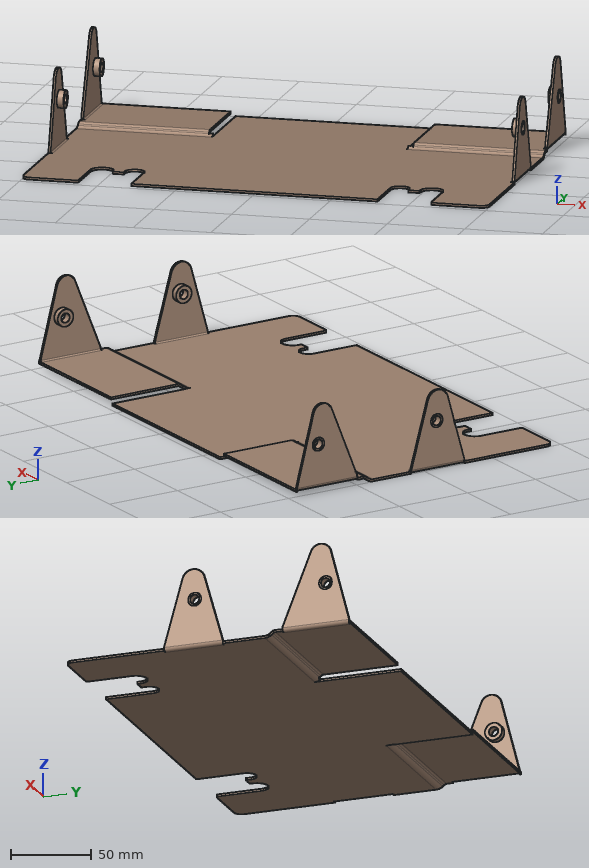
import cadquery as cq
import math

LENGTH = 300.0
DEPTH = 190.0
SHEET = 1.5
BEND_INNER = 1.0
BEND_OUTER = BEND_INNER + SHEET
HALF_LENGTH = LENGTH / 2

TAB_HALF_WIDTH = 62.7
SLOT_WIDTH = 3.0
SLOT_END_Y = 136.2
FLANGE_INNER_X = TAB_HALF_WIDTH + SLOT_WIDTH
FLANGE_REAR_Y = 189.0
FLANGE_RAISE = 3.0

JOGGLE_START_Y = 132.5
JOGGLE_ANGLE = math.radians(40)
JOGGLE_LOWER_RADIUS = 7.0
JOGGLE_UPPER_RADIUS = 2.7
JOGGLE_RADIUS_SUM = JOGGLE_LOWER_RADIUS + JOGGLE_UPPER_RADIUS
JOGGLE_SLOPE_RISE = FLANGE_RAISE - JOGGLE_RADIUS_SUM * (1 - math.cos(JOGGLE_ANGLE))
JOGGLE_SLOPE_RUN = JOGGLE_SLOPE_RISE / math.tan(JOGGLE_ANGLE)
JOGGLE_END_Y = JOGGLE_START_Y + JOGGLE_RADIUS_SUM * math.sin(JOGGLE_ANGLE) + JOGGLE_SLOPE_RUN

NOTCH_OUTER_X = 113.5
NOTCH_INNER_X = 79.2
TONGUE_OUTER_X = 98.7
TONGUE_INNER_X = 91.5
TONGUE_END_Y = 28.2
NOTCH_TOP_Y = 37.5
FRONT_CORNER_RADIUS = 5.0
NOTCH_CORNER_RADIUS = 1.5

REAR_EAR_FRONT_Y = 144.0
REAR_EAR_REAR_Y = 188.5
REAR_TIP_Y = 169.5
REAR_TIP_Z = 57.5
REAR_TIP_RADIUS = 7.0
REAR_NUT_Y = 172.8
FRONT_EAR_Y = 85.0
FRONT_EAR_HALF_WIDTH = 19.5
FRONT_TIP_Z = 51.5
FRONT_TIP_RADIUS = 7.5
FRONT_NUT_Y = 85.8

NUT_Z = 31.5
NUT_BORE = 6.0
NUT_SHANK = 8.7
NUT_HEAD = 11.5
NUT_HEAD_LENGTH = 4.2


def box(x_range, y_range, z_range):
    """Box between two limits on each axis."""
    (x0, x1), (y0, y1), (z0, z1) = x_range, y_range, z_range
    return cq.Workplane("XY").box(x1 - x0, y1 - y0, z1 - z0, centered=False).translate((x0, y0, z0))


def x_cylinder(diameter, x, length, y):
    """Cylinder along +X at the height of the nuts."""
    return cq.Workplane("YZ", origin=(x, y, NUT_Z)).circle(diameter / 2).extrude(length)


def both_sides(left):
    """The left-hand shape together with its mirror image, as two Workplanes."""
    return left, left.mirror("YZ")


def round_slot(x0, x1):
    """Slot from the front edge to a semicircular end."""
    radius = (x1 - x0) / 2
    arc_y = NOTCH_TOP_Y - radius
    return (
        cq.Workplane("XY")
        .moveTo(x0, 0)
        .lineTo(x0, arc_y)
        .threePointArc(((x0 + x1) / 2, NOTCH_TOP_Y), (x1, arc_y))
        .lineTo(x1, 0)
        .close()
        .extrude(SHEET)
    )


def left_notch():
    outer_slot = round_slot(-NOTCH_OUTER_X, -TONGUE_OUTER_X)
    inner_slot = round_slot(-TONGUE_INNER_X, -NOTCH_INNER_X)
    below_tongue = box((-TONGUE_OUTER_X, -TONGUE_INNER_X), (0, TONGUE_END_Y), (0, SHEET))
    return outer_slot.union(inner_slot).union(below_tongue)


def floor():
    """Flat floor with its rear tab, front notches and rounded front corners."""
    plate = box((-HALF_LENGTH, HALF_LENGTH), (0, JOGGLE_START_Y), (0, SHEET))
    plate = plate.union(box((-TAB_HALF_WIDTH, TAB_HALF_WIDTH), (0, DEPTH), (0, SHEET)))
    for notch in both_sides(left_notch()):
        plate = plate.cut(notch)
    for x, radius in ((HALF_LENGTH, FRONT_CORNER_RADIUS), (NOTCH_OUTER_X, NOTCH_CORNER_RADIUS)):
        for side in (-1, 1):
            corner = cq.selectors.NearestToPointSelector((side * x, 0, SHEET / 2))
            plate = plate.edges(corner).fillet(radius)
    return plate


def joggle_line(lift):
    """Start, middle and end of both arcs, from low to high, at a lift above the underside."""
    lower = JOGGLE_LOWER_RADIUS - lift
    upper = JOGGLE_UPPER_RADIUS + lift

    def lower_point(angle):
        return JOGGLE_START_Y + lower * math.sin(angle), lift + lower * (1 - math.cos(angle))

    def upper_point(angle):
        return JOGGLE_END_Y - upper * math.sin(angle), lift + FLANGE_RAISE - upper * (1 - math.cos(angle))

    half = JOGGLE_ANGLE / 2
    return (
        lower_point(0),
        lower_point(half),
        lower_point(JOGGLE_ANGLE),
        upper_point(JOGGLE_ANGLE),
        upper_point(half),
        upper_point(0),
    )


def left_flange():
    """Joggle and raised flange; the slot stops inside the joggle, whose foot reaches the tab."""
    under = joggle_line(0)
    over = joggle_line(SHEET)
    strip = (
        cq.Workplane("YZ", origin=(-HALF_LENGTH, 0, 0))
        .moveTo(*under[0])
        .threePointArc(under[1], under[2])
        .lineTo(*under[3])
        .threePointArc(under[4], under[5])
        .lineTo(FLANGE_REAR_Y, FLANGE_RAISE)
        .lineTo(FLANGE_REAR_Y, FLANGE_RAISE + SHEET)
        .lineTo(*over[5])
        .threePointArc(over[4], over[3])
        .lineTo(*over[2])
        .threePointArc(over[1], over[0])
        .close()
        .extrude(HALF_LENGTH - TAB_HALF_WIDTH)
    )
    slot = box(
        (-FLANGE_INNER_X, -TAB_HALF_WIDTH),
        (SLOT_END_Y, DEPTH),
        (0, FLANGE_RAISE + SHEET),
    )
    return strip.cut(slot)


def tangent_point(corner, centre, radius, side):
    """Point where a line from the corner touches the circle, on its -Y (-1) or +Y (1) side."""
    dy = corner[0] - centre[0]
    dz = corner[1] - centre[1]
    angle = math.atan2(dz, dy) + side * math.acos(radius / math.hypot(dy, dz))
    return centre[0] + radius * math.cos(angle), centre[1] + radius * math.sin(angle)


def left_bend_space(y_range, base_z):
    """Sheet edge that the bend below an ear replaces."""
    return box((-HALF_LENGTH, -HALF_LENGTH + BEND_OUTER), y_range, (base_z, base_z + SHEET))


def left_ear(y_range, base_z, tip_y, tip_z, tip_radius, nut_y):
    """Upright ear with its bend: straight sides run tangent into the rounded tip."""
    y0, y1 = y_range
    bend_top = base_z + BEND_OUTER
    tip_centre = (tip_y, tip_z - tip_radius)
    front_tangent = tangent_point((y0, bend_top), tip_centre, tip_radius, -1)
    rear_tangent = tangent_point((y1, bend_top), tip_centre, tip_radius, 1)
    wall = (
        cq.Workplane("YZ", origin=(-HALF_LENGTH, 0, 0))
        .moveTo(y0, bend_top)
        .lineTo(*front_tangent)
        .threePointArc((tip_y, tip_z), rear_tangent)
        .lineTo(y1, bend_top)
        .close()
        .extrude(SHEET)
    )
    bend_x = -HALF_LENGTH + BEND_OUTER
    ring = (
        cq.Workplane("XZ", origin=(bend_x, y1, bend_top))
        .circle(BEND_OUTER)
        .circle(BEND_INNER)
        .extrude(y1 - y0)
    )
    quarter = box((-HALF_LENGTH, bend_x), y_range, (base_z, bend_top))
    hole = x_cylinder(NUT_SHANK, -HALF_LENGTH, SHEET, nut_y)
    return wall.union(ring.intersect(quarter)).cut(hole)


def build_sheet():
    """Folded sheet: floor, two joggled flanges and four ears."""
    sheet = floor()
    for flange in both_sides(left_flange()):
        sheet = sheet.union(flange)
    rear_span = (REAR_EAR_FRONT_Y, REAR_EAR_REAR_Y)
    front_span = (FRONT_EAR_Y - FRONT_EAR_HALF_WIDTH, FRONT_EAR_Y + FRONT_EAR_HALF_WIDTH)
    ears = (
        (rear_span, FLANGE_RAISE, REAR_TIP_Y, REAR_TIP_Z, REAR_TIP_RADIUS, REAR_NUT_Y),
        (front_span, 0, FRONT_EAR_Y, FRONT_TIP_Z, FRONT_TIP_RADIUS, FRONT_NUT_Y),
    )
    for ear in ears:
        span, base_z = ear[:2]
        for bend_space in both_sides(left_bend_space(span, base_z)):
            sheet = sheet.cut(bend_space)
        for upright in both_sides(left_ear(*ear)):
            sheet = sheet.union(upright)
    return sheet


def left_nut(y):
    """Press-in nut: the shank is flush with the outer face of the ear."""
    shank = x_cylinder(NUT_SHANK, -HALF_LENGTH, SHEET, y)
    head = x_cylinder(NUT_HEAD, -HALF_LENGTH + SHEET, NUT_HEAD_LENGTH, y)
    bore = x_cylinder(NUT_BORE, -HALF_LENGTH, SHEET + NUT_HEAD_LENGTH, y)
    return shank.union(head).cut(bore)


sheet = build_sheet()

nuts = []
for nut_y in (FRONT_NUT_Y, REAR_NUT_Y):
    for nut in both_sides(left_nut(nut_y)):
        nuts.append(nut.val())

result = cq.Compound.makeCompound([sheet.val(), *nuts])